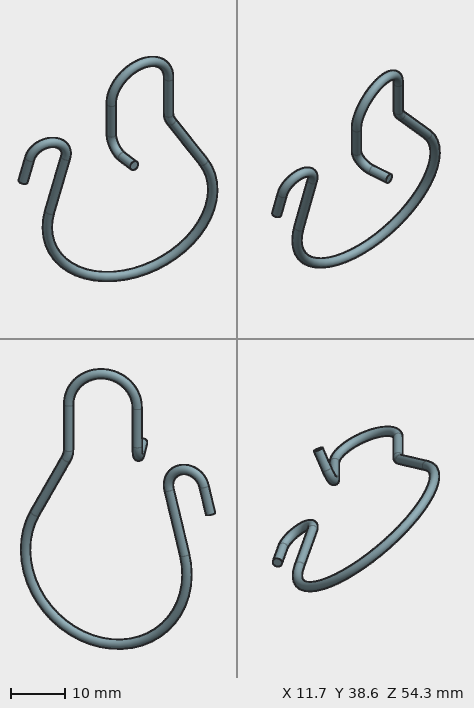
import cadquery as cq
import math

wire_diameter = 1.8
loop_radius = 16.05

neck_slant = 28
neck_y = 7.5
neck_bend_radius = 4.0

arch_turn = 15
arch_radius = 6.35
arch_base_z = 30.1
drop_end_z = 22.55

foot_bend_radius = 3.05
foot_rise = 10
foot_tail_length = 4.0

latch_slant = 14
latch_radius = 3.6
latch_center_z = 17.15
latch_tail_length = 5.45


def on_circle(center, radius, degrees, across=cq.Vector(0, 1, 0)):
    """Point on a vertical circle; the angle runs from the horizontal direction `across` toward +Z."""
    angle = math.radians(degrees)
    return center + across * (radius * math.cos(angle)) + cq.Vector(0, 0, radius * math.sin(angle))


def bend(center, radius, start, end, across=cq.Vector(0, 1, 0)):
    """Arc of a vertical circle between two angles."""
    points = [on_circle(center, radius, a, across) for a in (start, (start + end) / 2, end)]
    return cq.Edge.makeThreePointArc(*points)


def straight(start, end):
    return cq.Edge.makeLine(start, end)


slant_cos = math.cos(math.radians(neck_slant))
slant_sin = math.sin(math.radians(neck_slant))
latch_cos = math.cos(math.radians(latch_slant))
latch_sin = math.sin(math.radians(latch_slant))
loop_center = cq.Vector(0, 0, 0)

latch_y = -(loop_radius + latch_radius - latch_center_z * latch_sin) / latch_cos
latch_center = cq.Vector(0, latch_y, latch_center_z)
neck_center_y = neck_y + neck_bend_radius
neck_center_z = (loop_radius + neck_bend_radius - neck_center_y * slant_cos) / slant_sin
neck_center = cq.Vector(0, neck_center_y, neck_center_z)

latch_tail_start = on_circle(latch_center, latch_radius, 180 - latch_slant)
latch_tail_end = latch_tail_start + cq.Vector(0, -latch_sin, -latch_cos) * latch_tail_length
latch_leg_top = on_circle(latch_center, latch_radius, -latch_slant)
loop_latch_end = on_circle(loop_center, loop_radius, 180 - latch_slant)

latch_path = [
    straight(latch_tail_end, latch_tail_start),
    bend(latch_center, latch_radius, 180 - latch_slant, -latch_slant),
    straight(latch_leg_top, loop_latch_end),
]

loop_path = [bend(loop_center, loop_radius, 180 - latch_slant, 360 + neck_slant)]

loop_neck_end = on_circle(loop_center, loop_radius, neck_slant)
neck_leg_top = on_circle(neck_center, neck_bend_radius, 180 + neck_slant)
neck_bend_end = on_circle(neck_center, neck_bend_radius, 180)
arch_start = cq.Vector(0, neck_y, arch_base_z)
neck_path = [
    straight(loop_neck_end, neck_leg_top),
    bend(neck_center, neck_bend_radius, 180 + neck_slant, 180),
    straight(neck_bend_end, arch_start),
]

turn = math.radians(arch_turn)
arch_across = cq.Vector(math.sin(turn), -math.cos(turn), 0)
arch_center = arch_start + arch_across * arch_radius
arch_end = arch_center + arch_across * arch_radius
drop_end = cq.Vector(arch_end.x, arch_end.y, drop_end_z)
arch_path = [
    bend(arch_center, arch_radius, 180, 0, arch_across),
    straight(arch_end, drop_end),
]

rise = math.radians(foot_rise)
foot_across = cq.Vector(math.cos(turn), math.sin(turn), 0)
foot_center = drop_end + foot_across * foot_bend_radius
foot_bend_end = on_circle(foot_center, foot_bend_radius, 270 + foot_rise, foot_across)
foot_direction = foot_across * math.cos(rise) + cq.Vector(0, 0, math.sin(rise))
foot_path = [
    bend(foot_center, foot_bend_radius, 180, 270 + foot_rise, foot_across),
    straight(foot_bend_end, foot_bend_end + foot_direction * foot_tail_length),
]

centreline = cq.Wire.assembleEdges(latch_path + loop_path + neck_path + arch_path + foot_path)
end_plane = cq.Plane(origin=latch_tail_end, xDir=(1, 0, 0), normal=latch_tail_start - latch_tail_end)
result = cq.Workplane(end_plane).circle(wire_diameter / 2).sweep(cq.Workplane(obj=centreline))